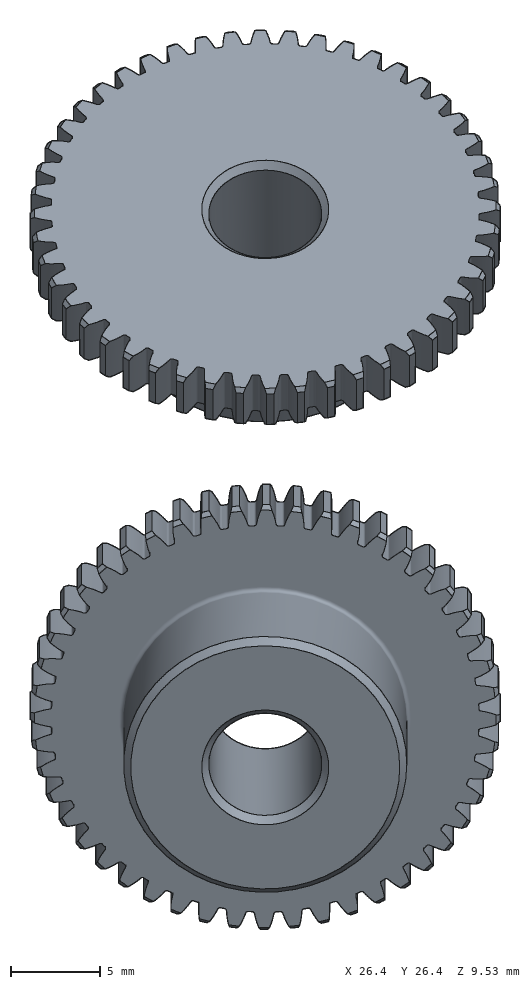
import cadquery as cq
import math

TOOTH_COUNT = 48
OUTER_DIAMETER = 26.4
PRESSURE_ANGLE = math.radians(20.0)
DEDENDUM_RATIO = 1.25
ROOT_FILLET = 0.13
TIP_CHAMFER = 0.25
FACE_WIDTH = 3.17

TOTAL_HEIGHT = 9.53
HUB_DIAMETER = 15.9
HUB_CHAMFER = 0.4
HUB_FILLET = 0.25
BORE_DIAMETER = 6.35
BORE_CHAMFER = 0.4

MODULE = OUTER_DIAMETER / (TOOTH_COUNT + 2)
OUTER_RADIUS = OUTER_DIAMETER / 2
PITCH_RADIUS = MODULE * TOOTH_COUNT / 2
BASE_RADIUS = PITCH_RADIUS * math.cos(PRESSURE_ANGLE)
ROOT_RADIUS = PITCH_RADIUS - DEDENDUM_RATIO * MODULE
TOOTH_PITCH = 2 * math.pi / TOOTH_COUNT
PITCH_HALF_ANGLE = TOOTH_PITCH / 4
FIRST_TOOTH_ANGLE = TOOTH_PITCH / 4
HUB_HEIGHT = TOTAL_HEIGHT - FACE_WIDTH
TIP_OVERSHOOT = MODULE / 2


def involute(angle):
    """Polar angle of an involute at the point with this pressure angle."""
    return math.tan(angle) - angle


def tooth_half_angle(radius):
    """Half the angle that a tooth spans at the given radius."""
    local_pressure_angle = math.acos(BASE_RADIUS / radius)
    return PITCH_HALF_ANGLE + involute(PRESSURE_ANGLE) - involute(local_pressure_angle)


def polar(radius, angle):
    """Cartesian point at the given radius and angle."""
    return (radius * math.cos(angle), radius * math.sin(angle))


def gear_blank():
    """Disc with both rims chamfered, so that every tooth tip is chamfered."""
    disc = cq.Workplane("XY").workplane(offset=HUB_HEIGHT).circle(OUTER_RADIUS).extrude(FACE_WIDTH)
    return disc.faces("<Z or >Z").edges().chamfer(TIP_CHAMFER)


def tooth_space():
    """Prism along +X that fills one gap between teeth, with rounded root corners."""
    radii = (ROOT_RADIUS, PITCH_RADIUS, OUTER_RADIUS + TIP_OVERSHOOT)
    half_angles = [TOOTH_PITCH / 2 - tooth_half_angle(radius) for radius in radii]
    upper_root, upper_pitch, upper_tip = [polar(r, a) for r, a in zip(radii, half_angles)]
    lower_root, lower_pitch, lower_tip = [polar(r, -a) for r, a in zip(radii, half_angles)]
    return (
        cq.Workplane("XY")
        .workplane(offset=HUB_HEIGHT)
        .moveTo(*upper_tip)
        .threePointArc(upper_pitch, upper_root)
        .threePointArc((ROOT_RADIUS, 0), lower_root)
        .threePointArc(lower_pitch, lower_tip)
        .close()
        .extrude(FACE_WIDTH)
        .edges("|Z and (not >X)")
        .fillet(ROOT_FILLET)
    )


def gear():
    """Gear blank with every tooth space cut out of its rim."""
    first_space_angle = FIRST_TOOTH_ANGLE + TOOTH_PITCH / 2
    space = tooth_space().val()
    spaces = []
    for index in range(TOOTH_COUNT):
        angle = math.degrees(first_space_angle + index * TOOTH_PITCH)
        spaces.append(space.rotate((0, 0, 0), (0, 0, 1), angle))
    return gear_blank().cut(cq.Compound.makeCompound(spaces))


def hub():
    """Round hub below the gear, with a chamfered end and a filleted neck."""
    hub_radius = HUB_DIAMETER / 2
    neck_middle = HUB_FILLET * (1 - math.sqrt(0.5))
    return (
        cq.Workplane("XZ")
        .moveTo(0, 0)
        .lineTo(hub_radius - HUB_CHAMFER, 0)
        .lineTo(hub_radius, HUB_CHAMFER)
        .lineTo(hub_radius, HUB_HEIGHT - HUB_FILLET)
        .threePointArc(
            (hub_radius + neck_middle, HUB_HEIGHT - neck_middle),
            (hub_radius + HUB_FILLET, HUB_HEIGHT),
        )
        .lineTo(0, HUB_HEIGHT)
        .close()
        .revolve(360, (0, 0, 0), (0, 1, 0))
    )


def bore():
    """Through bore, widened by a chamfer at both mouths."""
    bore_radius = BORE_DIAMETER / 2
    mouth_radius = bore_radius + BORE_CHAMFER
    return (
        cq.Workplane("XZ")
        .moveTo(0, 0)
        .lineTo(mouth_radius, 0)
        .lineTo(bore_radius, BORE_CHAMFER)
        .lineTo(bore_radius, TOTAL_HEIGHT - BORE_CHAMFER)
        .lineTo(mouth_radius, TOTAL_HEIGHT)
        .lineTo(0, TOTAL_HEIGHT)
        .close()
        .revolve(360, (0, 0, 0), (0, 1, 0))
    )


result = gear().union(hub()).cut(bore())